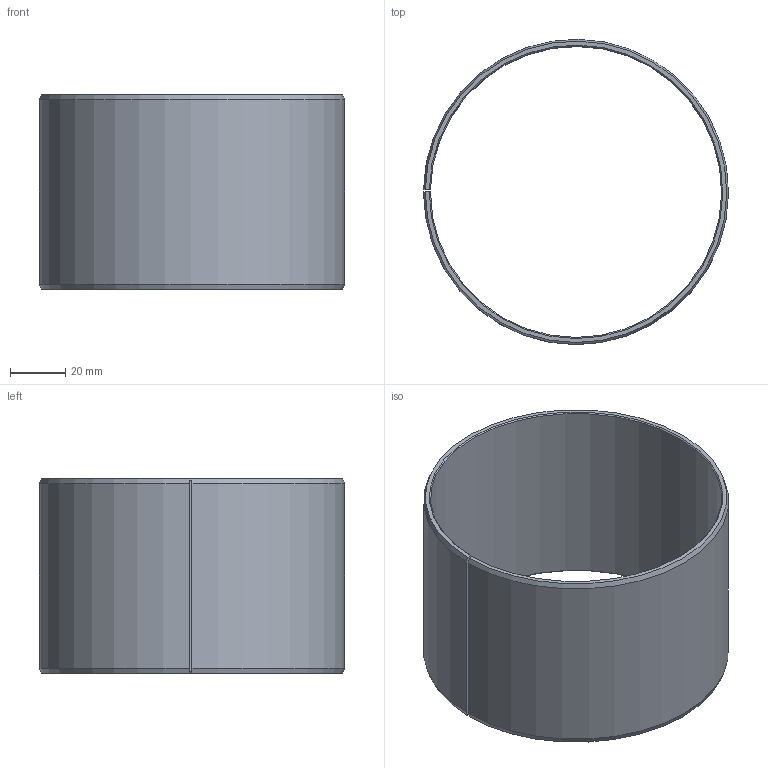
import cadquery as cq
import math

OUTER_DIAMETER = 110.0
WALL = 2.5
LENGTH = 70.0

OUTER_CHAMFER_LENGTH = 1.8
OUTER_CHAMFER_ANGLE = 20.0
INNER_CHAMFER = 0.4

SPLIT_ANGLE = 1.0

outer_radius = OUTER_DIAMETER / 2
inner_radius = outer_radius - WALL
half_length = LENGTH / 2
outer_chamfer_depth = OUTER_CHAMFER_LENGTH * math.tan(math.radians(OUTER_CHAMFER_ANGLE))


def wall_section():
    """Chamfered wall section in the XZ plane on the +X side, centred on Z = 0."""
    corners = [
        (inner_radius, -half_length + INNER_CHAMFER),
        (inner_radius + INNER_CHAMFER, -half_length),
        (outer_radius - outer_chamfer_depth, -half_length),
        (outer_radius, -half_length + OUTER_CHAMFER_LENGTH),
        (outer_radius, half_length - OUTER_CHAMFER_LENGTH),
        (outer_radius - outer_chamfer_depth, half_length),
        (inner_radius + INNER_CHAMFER, half_length),
        (inner_radius, half_length - INNER_CHAMFER),
    ]
    return cq.Workplane("XZ").polyline(corners).close()


def make_split_sleeve():
    """Revolve the wall around Z short of a full turn, then turn its first end face to -X."""
    sleeve = wall_section().revolve(360 - SPLIT_ANGLE, (0, 0), (0, 1))
    return sleeve.rotate((0, 0, 0), (0, 0, 1), 180)


result = make_split_sleeve()